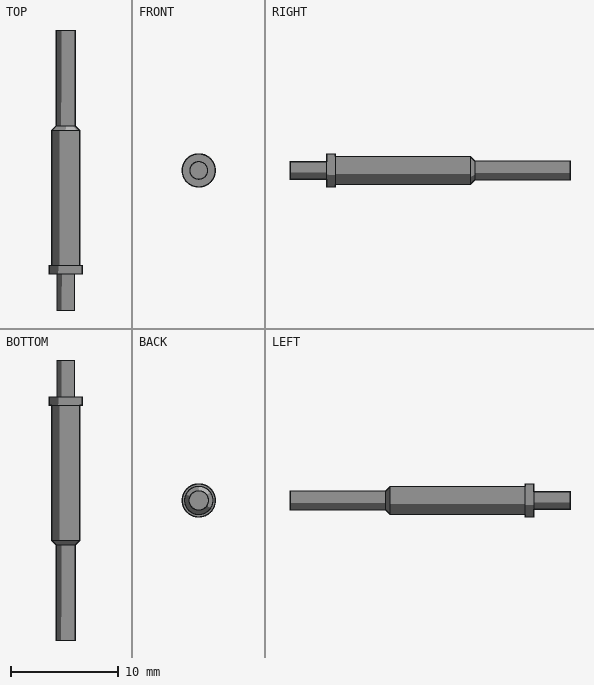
import cadquery as cq

total_length = 26.1

plunger_diameter = 1.65
flange_diameter = 3.1
barrel_diameter = 2.64
tail_diameter = 1.8

plunger_length = 3.4
flange_length = 0.8
tail_length = 8.9
taper_length = (barrel_diameter - tail_diameter) / 2

flange_start = plunger_length
flange_end = flange_start + flange_length
tail_start = total_length - tail_length
taper_start = tail_start - taper_length

profile = (
    cq.Workplane("XY")
    .moveTo(0, 0)
    .lineTo(plunger_diameter / 2, 0)
    .lineTo(plunger_diameter / 2, flange_start)
    .lineTo(flange_diameter / 2, flange_start)
    .lineTo(flange_diameter / 2, flange_end)
    .lineTo(barrel_diameter / 2, flange_end)
    .lineTo(barrel_diameter / 2, taper_start)
    .lineTo(tail_diameter / 2, tail_start)
    .lineTo(tail_diameter / 2, total_length)
    .lineTo(0, total_length)
    .close()
)

result = profile.revolve(360, (0, 0, 0), (0, 1, 0))